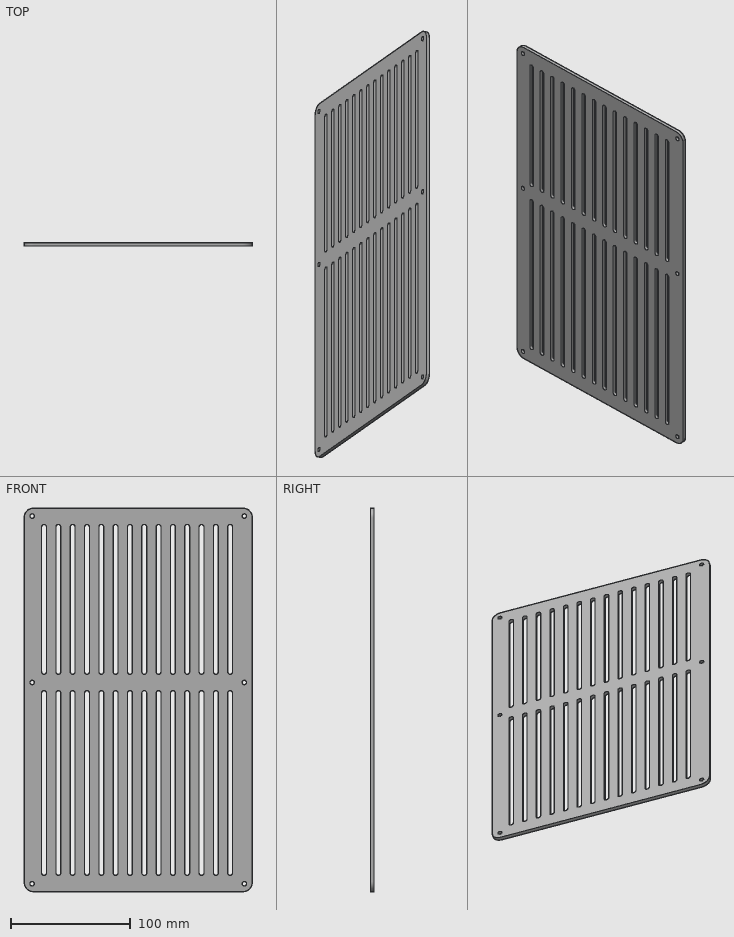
import cadquery as cq

plate_width = 191.0
plate_height = 321
plate_thickness = 3.0
corner_radius = 8.0

hole_diameter = 3.5
hole_inset = 6.7

slot_count = 14
slot_span = 155.7
slot_pitch = slot_span / (slot_count - 1)
slot_width = 4.0
first_slot_inset = 16.7
bar_width = 13.8
upper_slot_length = 125.2

left = -plate_width / 2
top = plate_height / 2
bottom = -top
upper_row_top = top - bar_width
upper_row_bottom = upper_row_top - upper_slot_length
lower_row_top = upper_row_bottom - bar_width
lower_row_bottom = bottom + bar_width
middle_z = (upper_row_bottom + lower_row_top) / 2


def make_plate():
    plate = cq.Workplane("XY").box(plate_width, plate_thickness, plate_height)
    return plate.edges("|Y").fillet(corner_radius)


def cut_holes(plate):
    hole_x = plate_width / 2 - hole_inset
    hole_heights = [bottom + hole_inset, middle_z, top - hole_inset]
    centres = [(x, z) for x in (-hole_x, hole_x) for z in hole_heights]
    holes = (
        cq.Workplane("XZ")
        .pushPoints(centres)
        .circle(hole_diameter / 2)
        .extrude(plate_thickness, both=True)
    )
    return plate.cut(holes)


def cut_slot_row(plate, row_bottom, row_top):
    row_middle = (row_bottom + row_top) / 2
    first_x = left + first_slot_inset
    centres = [(first_x + i * slot_pitch, row_middle) for i in range(slot_count)]
    slots = (
        cq.Workplane("XZ")
        .pushPoints(centres)
        .slot2D(row_top - row_bottom, slot_width, angle=90)
        .extrude(plate_thickness, both=True)
    )
    return plate.cut(slots)


result = make_plate()
result = cut_holes(result)
result = cut_slot_row(result, upper_row_bottom, upper_row_top)
result = cut_slot_row(result, lower_row_bottom, lower_row_top)